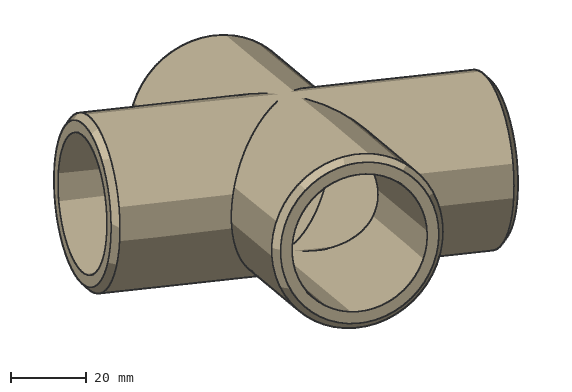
import cadquery as cq

length = 114.0
outer_diameter = 48.0
bore_diameter = 37.8
edge_chamfer = 1.8


def centred_cylinder(plane, diameter):
    """Full-length cylinder centred on the origin, along the plane's normal."""
    return cq.Workplane(plane).circle(diameter / 2).extrude(length / 2, both=True)


def round_bar(plane):
    """Solid bar with its outer end edges chamfered."""
    return centred_cylinder(plane, outer_diameter).faces("%PLANE").edges().chamfer(edge_chamfer)


result = round_bar("YZ").union(round_bar("XZ"))

for plane in ("YZ", "XZ"):
    result = result.cut(centred_cylinder(plane, bore_diameter))